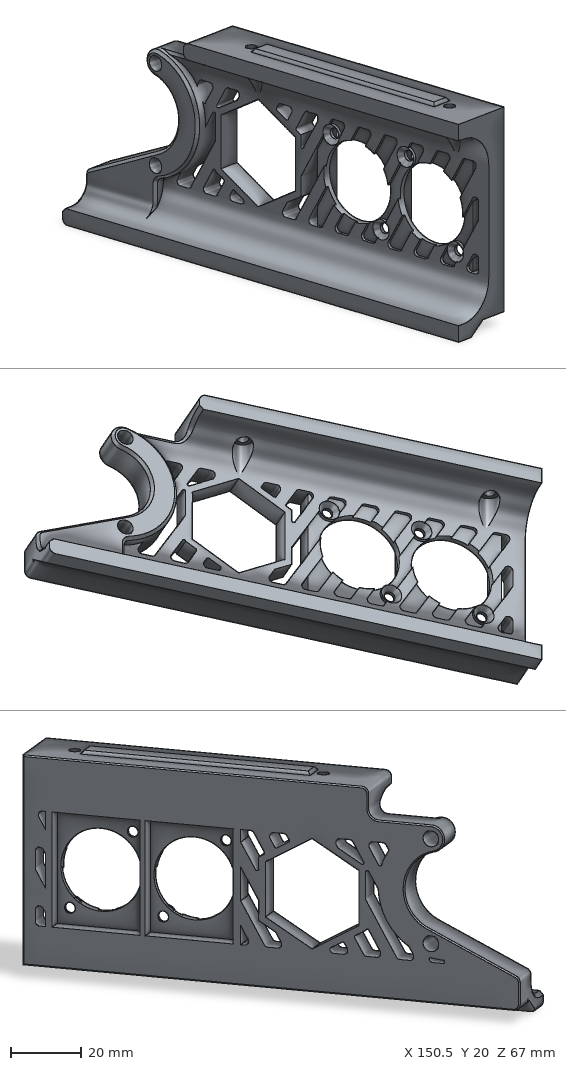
import cadquery as cq
import math


LENGTH = 150.45
DEPTH = 20.0
HEIGHT = 66.0
FLANGE_THICKNESS = 5.0
WEB_DEPTH = 7.0
COVE_RADIUS = 11.0
COVE_DEPTH = WEB_DEPTH + COVE_RADIUS
WEB_BOTTOM = FLANGE_THICKNESS + COVE_RADIUS
WEB_TOP = HEIGHT - WEB_BOTTOM
MID_HEIGHT = HEIGHT / 2
BACK_BOTTOM = 4.0
SLOPE_BACK_DEPTH = 9.5
SLOPE_FRONT_DEPTH = 14.7

STEP_X = 45.9
CORNER_RADIUS = 2.0
STEP_COVE_RADIUS = 3.2
STEP_CHAMFER = 1.2
SADDLE_X = 22.9
SADDLE_Z = 37.0
SADDLE_RADIUS = 12.0
EAR_RADIUS = 4.0
RIM_MID_RADIUS = SADDLE_RADIUS + EAR_RADIUS
RIM_OUTER_RADIUS = SADDLE_RADIUS + 2 * EAR_RADIUS
RIM_HOLE_DIAMETER = 4.7
RIM_HOLE_ANGLE = 75.5
NOSE_SLOPE = 24.0

PAD_DEPTH = 10.4
PAD_RIGHT = 26.9
PAD_COVE_RADIUS = 5.0
PAD_NOTCH_RADIUS = 2.0
EDGE_CHAMFER = 0.9
BACK_CHAMFER = 0.4

MARGIN = 0.1

HEX_X = 62.85
HEX_CORNER_RADIUS = 16.3
HEX_RIM = 2.1
ROUND_DIAMETER = 24.5
ROUND_CENTERS = (100.05, 128.25)
SCREW_DX = 9.5
SCREW_DZ = 12.1
SCREW_DIAMETER = 3.2
SCREW_HEAD_DIAMETER = 6.2

SLOT_ANGLE = 60.0
SLOT_PITCH = 10.0
SLOT_WIDTH = 5.0
SLOT_COUNT = 13
FIRST_SLOT_X = 21.2
SLOT_RIGHT_LIMIT = 146.6
SLOT_CORNER_RADIUS = 1.25
SLOT_RIM_RADIUS = 0.5
PANEL_LEFT = 84.45
PANEL_RIGHT = 143.55
PANEL_BACK = 4.5
PANEL_FRONT = 6.0
POCKET_WIDTH = 26.6

TOP_CENTER_X = 100.6
TOP_CENTER_DEPTH = 10.0
RIDGE_LENGTH = 69.6
RIDGE_WIDTH = 6.8
RIDGE_HEIGHT = 1.0
RIDGE_SIDE_ANGLE = 42.0
TOP_HOLE_SPACING = 75.3
TOP_HOLE_DIAMETER = 3.4
TOP_HEAD_DIAMETER = 6.0


def polar(radius, angle):
    """Point at an angle (degrees) on a circle about the saddle centre."""
    turn = math.radians(angle)
    return SADDLE_X + radius * math.cos(turn), SADDLE_Z + radius * math.sin(turn)


def ear_point(angle):
    """Point at an angle (degrees) on the ear's round end."""
    ear_x, ear_z = polar(RIM_MID_RADIUS, RIM_HOLE_ANGLE)
    turn = math.radians(angle)
    return ear_x + EAR_RADIUS * math.cos(turn), ear_z + EAR_RADIUS * math.sin(turn)


def near(low, high):
    """Selector for edges centred between two (x, depth, z) corners, with a small margin."""
    return cq.selectors.BoxSelector(
        (low[0] - MARGIN, MARGIN - low[1], low[2] - MARGIN),
        (high[0] + MARGIN, -MARGIN - high[1], high[2] + MARGIN),
    )


def front_plane(depth=0.0):
    """XZ sketch plane at a depth; extruding goes forward, towards -Y."""
    return cq.Workplane("XZ", origin=(0, -depth, 0))


def block(x0, x1, depth0, depth1, z0, z1):
    """Box between two X, two depth and two Z limits."""
    size = (x1 - x0, depth1 - depth0, z1 - z0)
    return cq.Workplane("XY").box(*size, centered=False).translate((x0, -depth1, z0))


def end_cone(x, direction, depth, z, radius):
    """Cone that widens a cove by the edge chamfer where the cove meets an end face."""
    return cq.Workplane("XY").add(
        cq.Solid.makeCone(
            radius + EDGE_CHAMFER,
            radius,
            EDGE_CHAMFER,
            cq.Vector(x, -depth, z),
            cq.Vector(direction, 0, 0),
        )
    )


def rail():
    """Channel section: a web with a flange along its top and bottom."""
    cove = COVE_RADIUS * math.sin(math.radians(45))
    section = (
        cq.Workplane("YZ")
        .moveTo(0, BACK_BOTTOM)
        .lineTo(-SLOPE_BACK_DEPTH, BACK_BOTTOM)
        .lineTo(-SLOPE_FRONT_DEPTH, 0)
        .lineTo(-DEPTH, 0)
        .lineTo(-DEPTH, FLANGE_THICKNESS)
        .lineTo(-COVE_DEPTH, FLANGE_THICKNESS)
        .threePointArc((cove - COVE_DEPTH, WEB_BOTTOM - cove), (-WEB_DEPTH, WEB_BOTTOM))
        .lineTo(-WEB_DEPTH, WEB_TOP)
        .threePointArc((cove - COVE_DEPTH, WEB_TOP + cove), (-COVE_DEPTH, HEIGHT - FLANGE_THICKNESS))
        .lineTo(-DEPTH, HEIGHT - FLANGE_THICKNESS)
        .lineTo(-DEPTH, HEIGHT)
        .lineTo(0, HEIGHT)
        .close()
    )
    return section.extrude(LENGTH)


def corner_waste(z):
    """Sliver outside a rounded left corner whose lower edge is at height z."""
    corner = block(0, CORNER_RADIUS, 0, DEPTH, z, z + CORNER_RADIUS)
    core = front_plane().center(CORNER_RADIUS, z + CORNER_RADIUS).circle(CORNER_RADIUS).extrude(DEPTH)
    return corner.cut(core)


def round_left_end(body):
    """Round the left end's lower corners; the one at the back stops at the sloped face's plane."""
    run = (SLOPE_FRONT_DEPTH - SLOPE_BACK_DEPTH) / BACK_BOTTOM
    behind_slope = (
        cq.Workplane("YZ")
        .moveTo(0, BACK_BOTTOM)
        .lineTo(-SLOPE_BACK_DEPTH, BACK_BOTTOM)
        .lineTo(-SLOPE_BACK_DEPTH + run * CORNER_RADIUS, BACK_BOTTOM + CORNER_RADIUS)
        .lineTo(0, BACK_BOTTOM + CORNER_RADIUS)
        .close()
        .extrude(CORNER_RADIUS)
    )
    return body.cut(corner_waste(0)).cut(corner_waste(BACK_BOTTOM).intersect(behind_slope))


def left_prism(far_side, depth):
    """Prism whose front outline closes far_side with the ear, the saddle and the nose."""
    nose_x, nose_z = polar(SADDLE_RADIUS, NOSE_SLOPE - 90)
    tip_z = nose_z - nose_x * math.tan(math.radians(NOSE_SLOPE))
    outline = (
        far_side.threePointArc(ear_point(180), polar(SADDLE_RADIUS, RIM_HOLE_ANGLE))
        .threePointArc(polar(SADDLE_RADIUS, 0), (nose_x, nose_z))
        .lineTo(0, tip_z)
        .close()
    )
    return outline.extrude(depth).edges(near((0, 0, tip_z), (0, depth, tip_z))).fillet(CORNER_RADIUS)


def silhouette():
    """Front outline of the whole part, as a full-depth prism."""
    step_z = ear_point(90)[1]
    cove_mid = STEP_COVE_RADIUS * (1 - math.sin(math.radians(45)))
    corner_mid = CORNER_RADIUS * (1 - math.sin(math.radians(45)))
    far_side = (
        front_plane()
        .lineTo(LENGTH, 0)
        .lineTo(LENGTH, HEIGHT)
        .lineTo(STEP_X + CORNER_RADIUS, HEIGHT)
        .threePointArc((STEP_X + corner_mid, HEIGHT - corner_mid), (STEP_X, HEIGHT - CORNER_RADIUS))
        .lineTo(STEP_X, step_z + STEP_COVE_RADIUS)
        .threePointArc((STEP_X - cove_mid, step_z + cove_mid), (STEP_X - STEP_COVE_RADIUS, step_z))
        .lineTo(*ear_point(90))
    )
    return left_prism(far_side, DEPTH)


def pad():
    """Raised pad that follows the saddle, ending in a cove down to the bottom flange."""
    base_z = pad_cove_z()
    notch_z = SADDLE_Z - math.sqrt(RIM_OUTER_RADIUS**2 - (PAD_RIGHT - SADDLE_X) ** 2)
    far_side = (
        front_plane()
        .moveTo(0, base_z)
        .lineTo(PAD_RIGHT, base_z)
        .lineTo(PAD_RIGHT, notch_z)
        .threePointArc(polar(RIM_OUTER_RADIUS, 0), polar(RIM_OUTER_RADIUS, RIM_HOLE_ANGLE))
        .threePointArc(ear_point((RIM_HOLE_ANGLE + 90) / 2), ear_point(90))
    )
    plate = left_prism(far_side, PAD_DEPTH)
    notch = near((PAD_RIGHT, 0, notch_z), (PAD_RIGHT, PAD_DEPTH, notch_z))
    plate = plate.edges(notch).fillet(PAD_NOTCH_RADIUS)
    plate = plate.faces("<Y").edges("not <Z").chamfer(EDGE_CHAMFER)
    return plate.union(pad_foot())


def add_pad(body):
    """Replace the rail's material inside the pad by the pad itself."""
    pad_solid = pad()
    return body.cut(pad_solid).union(pad_solid)


def pad_cove_z():
    """Height of the pad cove's axis; the cove is tangent to the pad and to the bottom cove."""
    across = COVE_DEPTH - PAD_DEPTH - PAD_COVE_RADIUS
    return WEB_BOTTOM - math.sqrt((COVE_RADIUS - PAD_COVE_RADIUS) ** 2 - across**2)


def pad_foot():
    """Concave foot under the pad, with both ends chamfered."""
    axis_depth = PAD_DEPTH + PAD_COVE_RADIUS
    axis_z = pad_cove_z()
    reach = COVE_RADIUS / (COVE_RADIUS - PAD_COVE_RADIUS)
    front = COVE_DEPTH - reach * (COVE_DEPTH - axis_depth)
    low = WEB_BOTTOM - reach * (WEB_BOTTOM - axis_z) - EDGE_CHAMFER
    foot = block(0, PAD_RIGHT, WEB_DEPTH, front, low, axis_z)
    round_cut = (
        cq.Workplane("YZ").center(-axis_depth, axis_z).circle(PAD_COVE_RADIUS).extrude(PAD_RIGHT)
    )
    foot = foot.cut(round_cut)
    foot = foot.cut(end_cone(0, 1, axis_depth, axis_z, PAD_COVE_RADIUS))
    return foot.cut(end_cone(PAD_RIGHT, -1, axis_depth, axis_z, PAD_COVE_RADIUS))


def hex_prism(corner_radius):
    """Web-thick hexagon with corners up and down."""
    return (
        front_plane()
        .center(HEX_X, MID_HEIGHT)
        .transformed(rotate=(0, 0, 90))
        .polygon(6, 2 * corner_radius)
        .extrude(WEB_DEPTH)
    )


def rounded(piece, radius):
    """Web-thick pieces with their corners rounded; parts narrower than the rounding vanish."""
    pieces = cq.Workplane("XY")
    for solid in piece.solids().vals():
        for core in solid.faces(">Y").outerWire().offset2D(-radius):
            for outline in core.offset2D(radius):
                pieces.add(cq.Solid.extrudeLinear(outline, [], cq.Vector(0, -WEB_DEPTH, 0)))
    return pieces


def slot(left):
    """One slanted slot between the coves, kept clear of the hexagon's rim and the pad."""
    lean = (WEB_TOP - WEB_BOTTOM) / math.tan(math.radians(SLOT_ANGLE))
    width = SLOT_WIDTH / math.sin(math.radians(SLOT_ANGLE))
    bar = (
        front_plane()
        .moveTo(left, WEB_BOTTOM)
        .lineTo(left + width, WEB_BOTTOM)
        .lineTo(left + width + lean, WEB_TOP)
        .lineTo(left + lean, WEB_TOP)
        .close()
        .extrude(WEB_DEPTH)
    )
    window = block(0, SLOT_RIGHT_LIMIT, 0, WEB_DEPTH, WEB_BOTTOM, WEB_TOP)
    rim = hex_prism(HEX_CORNER_RADIUS + HEX_RIM / math.cos(math.radians(30)))
    pad_disc = front_plane().center(SADDLE_X, SADDLE_Z).circle(RIM_OUTER_RADIUS).extrude(WEB_DEPTH)
    bars = rounded(bar.intersect(window), SLOT_CORNER_RADIUS)
    pieces = cq.Workplane("XY")
    for solid in bars.solids().vals():
        trimmed = cq.Workplane("XY").add(solid).cut(rim).cut(pad_disc)
        pieces.add(rounded(trimmed, SLOT_RIM_RADIUS).vals())
    return pieces


def cut_slots(body):
    for index in range(SLOT_COUNT):
        for piece in slot(FIRST_SLOT_X + index * SLOT_PITCH).solids().vals():
            body = body.cut(cq.Workplane("XY").add(piece))
    return body


def add_panel(body):
    """Close the slots around the round openings, leaving them as shallow front grooves."""
    return body.union(block(PANEL_LEFT, PANEL_RIGHT, 0, PANEL_FRONT, WEB_BOTTOM, WEB_TOP))


def add_screw_seat(body, x, z):
    """Round seat level with the slots' ribs, pierced by a countersunk screw hole."""
    sink_depth = (SCREW_HEAD_DIAMETER - SCREW_DIAMETER) / 2
    sink = cq.Solid.makeCone(
        SCREW_HEAD_DIAMETER / 2,
        SCREW_DIAMETER / 2,
        sink_depth,
        cq.Vector(x, -WEB_DEPTH, z),
        cq.Vector(0, 1, 0),
    )
    axis = front_plane(PANEL_BACK).center(x, z)
    seat = axis.circle(SCREW_HEAD_DIAMETER / 2).extrude(WEB_DEPTH - PANEL_BACK)
    hole = axis.circle(SCREW_DIAMETER / 2).extrude(WEB_DEPTH - PANEL_BACK)
    return body.union(seat).cut(hole).cut(cq.Workplane("XY").add(sink))


def cut_round_opening(body, x):
    """Round opening with a pocket behind it and two screws across its corners."""
    half = POCKET_WIDTH / 2
    body = body.cut(block(x - half, x + half, 0, PANEL_BACK, WEB_BOTTOM, WEB_TOP))
    for side in (-1, 1):
        body = add_screw_seat(body, x + side * SCREW_DX, MID_HEIGHT - side * SCREW_DZ)
    return body.cut(front_plane().center(x, MID_HEIGHT).circle(ROUND_DIAMETER / 2).extrude(WEB_DEPTH))


def cut_rim_holes(body):
    for angle in (-RIM_HOLE_ANGLE, RIM_HOLE_ANGLE):
        spot = polar(RIM_MID_RADIUS, angle)
        body = body.cut(front_plane().center(*spot).circle(RIM_HOLE_DIAMETER / 2).extrude(DEPTH))
    return body


def chamfer_left_end(body):
    """Break the bottom flange's inner edge on the left end face."""
    body = body.cut(end_cone(0, 1, COVE_DEPTH, WEB_BOTTOM, COVE_RADIUS))
    wedge = (
        front_plane(COVE_DEPTH)
        .moveTo(0, FLANGE_THICKNESS - EDGE_CHAMFER)
        .lineTo(EDGE_CHAMFER, FLANGE_THICKNESS)
        .lineTo(0, FLANGE_THICKNESS)
        .close()
        .extrude(DEPTH - COVE_DEPTH)
    )
    return body.cut(wedge)


def chamfer_step(body):
    """Break the edge between the upper cove and the step above the ear."""
    step_z = ear_point(90)[1]
    zone = near((SADDLE_X, WEB_DEPTH, step_z), (STEP_X, DEPTH - MARGIN, HEIGHT - FLANGE_THICKNESS))
    return body.edges(zone).chamfer(STEP_CHAMFER)


def ridge():
    """Low bar along the top, with sloping sides."""
    base = cq.Workplane("XY", origin=(TOP_CENTER_X, -TOP_CENTER_DEPTH, HEIGHT))
    return base.rect(RIDGE_LENGTH, RIDGE_WIDTH).extrude(RIDGE_HEIGHT, taper=RIDGE_SIDE_ANGLE)


def cut_top_screws(body):
    for side in (-1, 1):
        x = TOP_CENTER_X + side * TOP_HOLE_SPACING / 2
        axis = cq.Workplane("XY", origin=(x, -TOP_CENTER_DEPTH, WEB_TOP))
        body = body.cut(axis.circle(TOP_HOLE_DIAMETER / 2).extrude(HEIGHT - WEB_TOP))
        body = body.cut(axis.circle(TOP_HEAD_DIAMETER / 2).extrude(COVE_RADIUS))
    return body


body = rail().intersect(silhouette())
body = chamfer_step(body)
body = chamfer_left_end(body)
body = round_left_end(body)
body = add_pad(body)
body = body.faces(">Y").edges().chamfer(BACK_CHAMFER)
body = cut_slots(body)
body = add_panel(body)
body = body.cut(hex_prism(HEX_CORNER_RADIUS))
for opening_x in ROUND_CENTERS:
    body = cut_round_opening(body, opening_x)
body = cut_rim_holes(body)
body = body.union(ridge())
result = cut_top_screws(body)